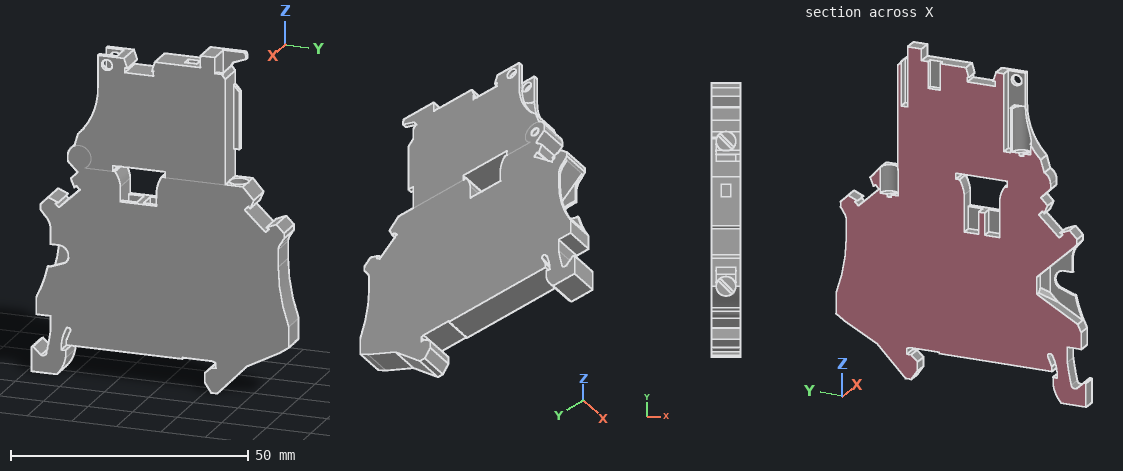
import cadquery as cq
import math

WIDTH = 6.15
HALF_WIDTH = WIDTH / 2
LENGTH = 57.8
HALF_LENGTH = LENGTH / 2
HEIGHT = 74.98
BEYOND = 40.0

SLOT_HALF = 2.06
SCREW_RADIUS = SLOT_HALF
DRIVE_SLOT_WIDTH = 0.6
DRIVE_SLOT_DEPTH = 0.6
DRIVE_SLOT_ANGLE = -45

JOINT_Z = 46.87
EAR_MID_Y = 0.5
RAIL_Z = 6.8
FOOT_Z = 5.6
WAIST_REAR_Y = 26.55
WAIST_FRONT_Y = -24.6
FRONT_LIP_Y = -27.8
FRONT_LIP_Z = 16.75

WINDOW_REAR_Y = -0.79
WINDOW_FRONT_Y = -8.88
WINDOW_FLOOR_Z = 40.24
WINDOW_BEND_Z = 43.7
NOTCH_REAR_Y = 1.15
NOTCH_FRONT_Y = -10.6
NOTCH_TOP_Z = 48.1
FLOOR_RIB_REAR_Y = -4.05
FLOOR_RIB_FRONT_Y = -5.5
FLOOR_POCKET_DEPTH = 5.0

TOP_Z = 72.35
TAB_FRONT_Y = 9.08
TAB_REAR_Y = 12.35
REAR_Y = 14.66
NECK_Y = 13.85
NECK_Z = 71.4
FRONT_Y = -13.97
FRONT_CURVE_Z = 65.3

HINGE_Y = -18.14
HINGE_Z = 49.14
HINGE_RADIUS = 2.6
HINGE_FRONT_Y = HINGE_Y - HINGE_RADIUS
HINGE_NECK_Y = -18.5
HINGE_NECK_Z = 45.7
HINGE_JOINT_Y = HINGE_Y + math.sqrt(HINGE_RADIUS**2 - (HINGE_Z - JOINT_Z) ** 2)
PIN_RADIUS = 0.95
PIN_RECESS = 0.2

CROSS_HOLE_Y = -11.91
CROSS_HOLE_Z = 70.41
CROSS_HOLE_RADIUS = 1.17
TEST_HOLE_Y = 6.2
TEST_HOLE_SIZE = (2.1, 2.7)
TEST_HOLE_DEPTH = 6.0
BLADE_SLOT = 1.45
BLADE_SLOT_DEPTH = 10.0

UPPER_SCREW_Y = FRONT_Y
UPPER_SCREW_Z = 55.0
UPPER_SLOT_REAR_Y = -9.97
UPPER_SLOT_FLOOR_Z = 64.8
LOWER_SCREW_Y = 16.6
LOWER_SCREW_Z = 41.0

FUNNEL_HALF = 2.55
FUNNEL_MOUTH_Y = -27.0
FUNNEL_BACK_HALF = 1.65
FUNNEL_BACK_Y = -17.6
FUNNEL_TAPER_Y = -19.5
FUNNEL_ROOF_Z = 36.4
FUNNEL_BACK_TOP_Z = 27.66
FUNNEL_BACK_BOTTOM_Z = 23.77
FUNNEL_FLOOR_Z = 18.46
FUNNEL_CORNER = 0.8
SIDE_OPENING_TOP_Z = 28.9
SIDE_OPENING_BOTTOM_Z = 23.8


def box(x_range, y_range, z_range):
    """Box spanning the given ranges."""
    sizes = [r[1] - r[0] for r in (x_range, y_range, z_range)]
    start = (x_range[0], y_range[0], z_range[0])
    return cq.Workplane("XY").box(*sizes, centered=False).translate(start)


def side_profile(start):
    """Begin an outline in the Y-Z plane at the -X face."""
    return cq.Workplane("YZ", origin=(-HALF_WIDTH, 0, 0)).moveTo(*start)


def ear_points(side):
    """Two marker ears and the 45 degree flank between them, from the top down."""
    upper_ear = [(18.1, JOINT_Z), (20.55, 44.12), (19.75, 42.2), (19.3, 42.6), (18.5, 41.78)]
    lower_ear = [(23.2, 37.33), (24.0, 38.1), (23.35, 38.4), (25.6, 39.35), (27.35, 37.6), (27.35, 36.4)]
    return [(EAR_MID_Y + side * offset, z) for offset, z in upper_ear + lower_ear]


def lower_housing():
    rear_ears = ear_points(1)
    front_ears = ear_points(-1)[1:]
    outline = side_profile(rear_ears[0])
    for point in rear_ears[1:]:
        outline = outline.lineTo(*point)
    outline = (
        outline.lineTo(26.8, 34.7)
        .lineTo(WAIST_REAR_Y, 33.9)
        .lineTo(WAIST_REAR_Y, 30.0)
        .threePointArc((27.15, 23.4), (HALF_LENGTH, 16.9))
        .lineTo(HALF_LENGTH, 12.13)
        .lineTo(26.8, 10.7)
        .lineTo(19.4, RAIL_Z)
        .lineTo(12.84, 0)
        .lineTo(11.5, 0)
        .lineTo(10.0, 2.2)
        .lineTo(10.0, 4.25)
        .lineTo(11.5, FOOT_Z)
        .lineTo(12.5, FOOT_Z)
        .lineTo(12.5, RAIL_Z)
        .lineTo(11.8, 7.1)
        .lineTo(5.04, 7.1)
        .lineTo(5.04, RAIL_Z)
        .lineTo(-21.0, RAIL_Z)
    )
    outline = (
        outline.lineTo(-21.0, 8.0)
        .lineTo(-20.2, 9.9)
        .threePointArc((-20.5, 10.75), (-21.1, 10.4))
        .threePointArc((-21.95, 8.1), (-22.2, FOOT_Z))
        .lineTo(-21.2, FOOT_Z)
        .lineTo(-21.2, 4.0)
        .threePointArc((-21.9, 1.8), (-23.15, 0))
        .lineTo(-HALF_LENGTH, 0)
        .lineTo(-HALF_LENGTH, 5.4)
        .lineTo(-28.5, FOOT_Z)
        .lineTo(-26.7, 3.9)
        .threePointArc((-26.0, 3.9), (-25.5, 4.6))
        .threePointArc((-25.0, 7.1), (WAIST_FRONT_Y, 9.6))
        .lineTo(WAIST_FRONT_Y, 12.86)
        .lineTo(FRONT_LIP_Y, 12.86)
        .lineTo(FRONT_LIP_Y, FRONT_LIP_Z)
        .threePointArc((-25.35, 23.4), (WAIST_FRONT_Y, 30.0))
        .lineTo(WAIST_FRONT_Y, 32.5)
        .threePointArc((-24.95, 33.9), (-25.8, 35.1))
    )
    for point in reversed(front_ears):
        outline = outline.lineTo(*point)
    outline = (
        outline.lineTo(HINGE_NECK_Y, HINGE_NECK_Z)
        .lineTo(HINGE_FRONT_Y, HINGE_NECK_Z + HINGE_NECK_Y - HINGE_FRONT_Y)
        .lineTo(HINGE_FRONT_Y, HINGE_Z)
        .threePointArc((HINGE_Y, HINGE_Z + HINGE_RADIUS), (HINGE_Y + HINGE_RADIUS, HINGE_Z))
        .radiusArc((HINGE_JOINT_Y, JOINT_Z), HINGE_RADIUS)
    )
    return outline.close().extrude(WIDTH)


def upper_housing():
    outline = (
        side_profile((REAR_Y, JOINT_Z))
        .lineTo(REAR_Y, 53.2)
        .lineTo(15.95, 53.2)
        .lineTo(15.95, 66.05)
        .lineTo(REAR_Y, 67.5)
        .lineTo(REAR_Y, 70.4)
        .lineTo(NECK_Y, NECK_Z)
        .lineTo(14.45, 72.4)
        .lineTo(17.4, 73.5)
        .lineTo(17.4, 74.3)
        .lineTo(17.17, HEIGHT)
        .lineTo(TAB_FRONT_Y, HEIGHT)
        .lineTo(TAB_FRONT_Y, TOP_Z)
        .lineTo(-1.19, TOP_Z)
        .lineTo(-1.84, 70.2)
        .lineTo(-1.52, 70.2)
        .lineTo(-1.52, 69.2)
        .lineTo(-7.9, 69.2)
        .lineTo(-7.9, 70.2)
        .lineTo(-7.34, 70.2)
        .lineTo(-8.07, TOP_Z)
        .lineTo(FRONT_Y, TOP_Z)
        .lineTo(FRONT_Y, FRONT_CURVE_Z)
        .threePointArc((-15.1, 59.2), (-18.45, 54.25))
        .lineTo(-19.3, 51.4)
        .lineTo(HINGE_Y, HINGE_Z)
        .lineTo(HINGE_JOINT_Y, JOINT_Z)
        .close()
    )
    body = outline.extrude(WIDTH)
    inner = (-SLOT_HALF, BEYOND)
    body = body.cut(box(inner, (REAR_Y, BEYOND), (JOINT_Z, HEIGHT)))
    body = body.cut(box(inner, (TAB_REAR_Y, BEYOND), (NECK_Z, HEIGHT)))
    return body


def hinge_disc():
    return side_profile((HINGE_Y, HINGE_Z)).circle(HINGE_RADIUS).extrude(WIDTH)


def pin_recess():
    return side_profile((HINGE_Y, HINGE_Z)).circle(PIN_RADIUS).extrude(PIN_RECESS)


def window():
    """Through window with flared sides, its roof notch and the floor pockets."""
    opening = (
        side_profile((0.3, JOINT_Z))
        .threePointArc((-0.4, 45.4), (WINDOW_REAR_Y, WINDOW_BEND_Z))
        .lineTo(WINDOW_REAR_Y, WINDOW_FLOOR_Z)
        .lineTo(WINDOW_FRONT_Y, WINDOW_FLOOR_Z)
        .lineTo(WINDOW_FRONT_Y, WINDOW_BEND_Z)
        .threePointArc((-9.3, 45.4), (-10.1, JOINT_Z))
        .close()
        .extrude(WIDTH)
    )
    across = (-HALF_WIDTH, HALF_WIDTH)
    opening = opening.union(box(across, (NOTCH_FRONT_Y, NOTCH_REAR_Y), (JOINT_Z, NOTCH_TOP_Z)))
    pocket_z = (WINDOW_FLOOR_Z - FLOOR_POCKET_DEPTH, WINDOW_FLOOR_Z)
    for pocket_y in ((FLOOR_RIB_REAR_Y, WINDOW_REAR_Y), (WINDOW_FRONT_Y, FLOOR_RIB_FRONT_Y)):
        opening = opening.union(box((-SLOT_HALF, SLOT_HALF), pocket_y, pocket_z))
    return opening


def screw_well(y, head_z, top_z):
    """Vertical well down to a screw head with a diagonal drive slot."""
    well = cq.Workplane("XY", origin=(0, y, head_z)).circle(SCREW_RADIUS).extrude(top_z - head_z)
    drive_slot = (
        cq.Workplane("XY", origin=(0, y, head_z - DRIVE_SLOT_DEPTH))
        .transformed(rotate=(0, 0, DRIVE_SLOT_ANGLE))
        .rect(2 * SCREW_RADIUS, DRIVE_SLOT_WIDTH)
        .extrude(DRIVE_SLOT_DEPTH)
    )
    return well.union(drive_slot)


def upper_screw_access():
    """Open-fronted slot, screw well and blade slot at the front of the upper housing."""
    across = (-SLOT_HALF, SLOT_HALF)
    access = screw_well(UPPER_SCREW_Y, UPPER_SCREW_Z, TOP_Z)
    access = access.union(box(across, (-BEYOND, UPPER_SLOT_REAR_Y), (UPPER_SLOT_FLOOR_Z, TOP_Z)))
    blade_y = (UPPER_SLOT_REAR_Y - BLADE_SLOT, UPPER_SLOT_REAR_Y)
    blade_z = (UPPER_SLOT_FLOOR_Z - BLADE_SLOT_DEPTH, UPPER_SLOT_FLOOR_Z)
    return access.union(box(across, blade_y, blade_z))


def rear_blade_slot():
    blade_y = (TAB_REAR_Y, TAB_REAR_Y + BLADE_SLOT)
    return box((-SLOT_HALF, SLOT_HALF), blade_y, (NECK_Z - BLADE_SLOT_DEPTH, NECK_Z))


def cross_hole():
    return side_profile((CROSS_HOLE_Y, CROSS_HOLE_Z)).circle(CROSS_HOLE_RADIUS).extrude(WIDTH)


def test_hole():
    top = cq.Workplane("XY", origin=(0, TEST_HOLE_Y, TOP_Z - TEST_HOLE_DEPTH))
    return top.rect(*TEST_HOLE_SIZE).extrude(TEST_HOLE_DEPTH)


def wire_funnel():
    """Pocket with sloping roof and floor whose side walls close in at the back."""
    floor_slope = (FUNNEL_BACK_BOTTOM_Z - FUNNEL_FLOOR_Z) / (FUNNEL_BACK_Y - FUNNEL_MOUTH_Y)
    outer_floor_z = FUNNEL_FLOOR_Z - floor_slope * (FUNNEL_MOUTH_Y + BEYOND)
    section = (
        cq.Workplane("YZ", origin=(-FUNNEL_HALF, 0, 0))
        .moveTo(FUNNEL_MOUTH_Y, FUNNEL_ROOF_Z)
        .lineTo(FUNNEL_BACK_Y, FUNNEL_BACK_TOP_Z)
        .lineTo(FUNNEL_BACK_Y, FUNNEL_BACK_BOTTOM_Z)
        .lineTo(-BEYOND, outer_floor_z)
        .lineTo(-BEYOND, FUNNEL_ROOF_Z)
        .close()
        .extrude(2 * FUNNEL_HALF)
    )
    plan = (
        cq.Workplane("XY")
        .polyline([
            (-FUNNEL_HALF, -BEYOND),
            (FUNNEL_HALF, -BEYOND),
            (FUNNEL_HALF, FUNNEL_TAPER_Y),
            (FUNNEL_BACK_HALF, FUNNEL_BACK_Y),
            (-FUNNEL_BACK_HALF, FUNNEL_BACK_Y),
            (-FUNNEL_HALF, FUNNEL_TAPER_Y),
        ])
        .close()
        .extrude(HEIGHT)
    )
    corners = cq.selectors.BoxSelector(
        (-FUNNEL_HALF, FUNNEL_TAPER_Y, FUNNEL_FLOOR_Z),
        (FUNNEL_HALF, FUNNEL_BACK_Y, FUNNEL_BACK_BOTTOM_Z),
    )
    return section.intersect(plan).edges(corners).chamfer(FUNNEL_CORNER)


def wire_side_opening():
    """C-shaped opening through the +X wall of the wire funnel."""
    return (
        cq.Workplane("YZ")
        .moveTo(-BEYOND, SIDE_OPENING_TOP_Z)
        .lineTo(-22.5, SIDE_OPENING_TOP_Z)
        .threePointArc((-20.55, 26.9), (-21.5, 25.0))
        .lineTo(-24.8, SIDE_OPENING_BOTTOM_Z)
        .lineTo(-BEYOND, SIDE_OPENING_BOTTOM_Z)
        .close()
        .extrude(HALF_WIDTH)
    )


lower = lower_housing().cut(wire_funnel()).cut(wire_side_opening())
lower = lower.cut(screw_well(LOWER_SCREW_Y, LOWER_SCREW_Z, JOINT_Z))

upper = upper_housing().cut(hinge_disc())
for opening in (upper_screw_access(), rear_blade_slot(), cross_hole(), test_hole()):
    upper = upper.cut(opening)

result = lower.union(upper, clean=False)
result = result.cut(window(), clean=False).cut(pin_recess(), clean=False)